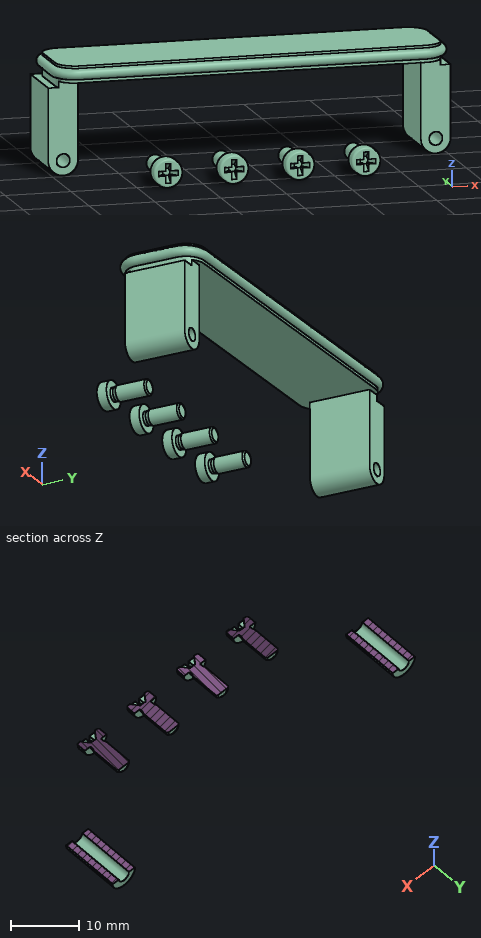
import cadquery as cq
import math

leg_span = 61.05
handle_height = 16.7
plate_length = 58.35
plate_width = 12.7
plate_thickness = 2.55
plate_corner_radius = 3.0
leg_thickness = 4.5
leg_width = 9.95
leg_center_y = 0.5
shoulder_depth = 3.5
leg_hole_diameter = 2.0
leg_end_radius = leg_thickness / 2
leg_center_x = (leg_span - leg_thickness) / 2
leg_axis_z = leg_end_radius - handle_height

cord_radius = 0.85
ring_length = 60.2
ring_width = 14.15
ring_corner_radius = 3.85
cord_path_length = ring_length - 2 * cord_radius
cord_path_width = ring_width - 2 * cord_radius
cord_corner_radius = ring_corner_radius - cord_radius
cord_z = -1.2

overall_depth = 24.05
screw_count = 4
screw_pitch = 10.0
first_screw_x = -15.75
head_radius = 4.45 / 2
head_height = 1.8
head_edge_radius = 0.35
shank_length = 6.0
thread_radius = 1.3
tip_chamfer = 0.25
neck_radius = 1.1
neck_length = 0.4
neck_taper_length = 0.55
recess_span = 2.9
recess_arm_width = 0.75
recess_floor_span = 1.1
recess_depth = 1.2
head_face_y = ring_width / 2 - overall_depth


def rounded_prism(length, width, corner_radius, height):
    """Upright prism with rounded vertical edges, hanging down from Z = 0."""
    outline = cq.Workplane("XY").rect(length, width).extrude(-height)
    return outline.edges("|Z").fillet(corner_radius)


def make_leg(side):
    """Leg with a rounded, drilled foot; above the shoulder it follows the plate outline."""
    center_x = side * leg_center_x
    shoulder_z = -shoulder_depth
    body_height = shoulder_z - leg_axis_z
    body = (
        cq.Workplane("XY")
        .box(leg_thickness, leg_width, body_height, centered=(True, True, False))
        .translate((center_x, leg_center_y, leg_axis_z))
    )
    back_face_y = leg_center_y + leg_width / 2
    foot_plane = cq.Workplane("XZ", origin=(center_x, back_face_y, leg_axis_z))
    foot = foot_plane.circle(leg_end_radius).extrude(leg_width)
    hole = foot_plane.circle(leg_hole_diameter / 2).extrude(leg_width)
    neck = (
        cq.Workplane("XY")
        .box(leg_thickness, leg_width, shoulder_depth, centered=(True, True, False))
        .translate((center_x, leg_center_y, shoulder_z))
        .intersect(rounded_prism(plate_length, plate_width, plate_corner_radius, shoulder_depth))
    )
    return body.union(foot).union(neck).cut(hole)


def make_seal_ring():
    """Round cord swept along a rounded rectangle."""
    half_length = cord_path_length / 2
    half_width = cord_path_width / 2
    straight_x = half_length - cord_corner_radius
    straight_y = half_width - cord_corner_radius
    diagonal = cord_corner_radius * math.sqrt(0.5)
    path = (
        cq.Workplane("XY", origin=(0, 0, cord_z))
        .moveTo(0, -half_width)
        .lineTo(straight_x, -half_width)
        .threePointArc((straight_x + diagonal, -straight_y - diagonal), (half_length, -straight_y))
        .lineTo(half_length, straight_y)
        .threePointArc((straight_x + diagonal, straight_y + diagonal), (straight_x, half_width))
        .lineTo(-straight_x, half_width)
        .threePointArc((-straight_x - diagonal, straight_y + diagonal), (-half_length, straight_y))
        .lineTo(-half_length, -straight_y)
        .threePointArc((-straight_x - diagonal, -straight_y - diagonal), (-straight_x, -half_width))
        .close()
    )
    section = cq.Workplane("YZ", origin=(0, -half_width, cord_z)).circle(cord_radius)
    return section.sweep(path)


def make_handle(ring):
    """Plate and two legs in one piece, with the rim groove that holds the seal ring."""
    handle = rounded_prism(plate_length, plate_width, plate_corner_radius, plate_thickness)
    for side in (-1, 1):
        handle = handle.union(make_leg(side))
    return handle.cut(ring)


def make_recess_arm():
    """One bar of the cross recess along X, with ends sloping in to a flat floor."""
    return (
        cq.Workplane("XY")
        .moveTo(-recess_span / 2, 0)
        .lineTo(recess_span / 2, 0)
        .lineTo(recess_floor_span / 2, recess_depth)
        .lineTo(-recess_floor_span / 2, recess_depth)
        .close()
        .extrude(recess_arm_width / 2, both=True)
    )


def make_screw(center_x):
    """Cross-recess screw turned about Y, with an undercut neck behind the head."""
    neck_end = head_height + neck_length
    thread_start = neck_end + neck_taper_length
    tip = head_height + shank_length
    edge_inset = head_edge_radius * (1 - math.sqrt(0.5))
    blank = (
        cq.Workplane("XY")
        .lineTo(head_radius - head_edge_radius, 0)
        .threePointArc((head_radius - edge_inset, edge_inset), (head_radius, head_edge_radius))
        .lineTo(head_radius, head_height)
        .lineTo(neck_radius, head_height)
        .lineTo(neck_radius, neck_end)
        .lineTo(thread_radius, thread_start)
        .lineTo(thread_radius, tip - tip_chamfer)
        .lineTo(thread_radius - tip_chamfer, tip)
        .lineTo(0, tip)
        .close()
        .revolve(360, (0, 0, 0), (0, 1, 0))
    )
    arm = make_recess_arm()
    crossing_arm = arm.rotate((0, 0, 0), (0, 1, 0), 90)
    screw = blank.cut(arm).cut(crossing_arm)
    return screw.translate((center_x, head_face_y, leg_axis_z))


seal_ring = make_seal_ring()
handle = make_handle(seal_ring)
screws = [make_screw(first_screw_x + index * screw_pitch) for index in range(screw_count)]

result = cq.Compound.makeCompound(
    [handle.val(), seal_ring.val(), *[screw.val() for screw in screws]]
)